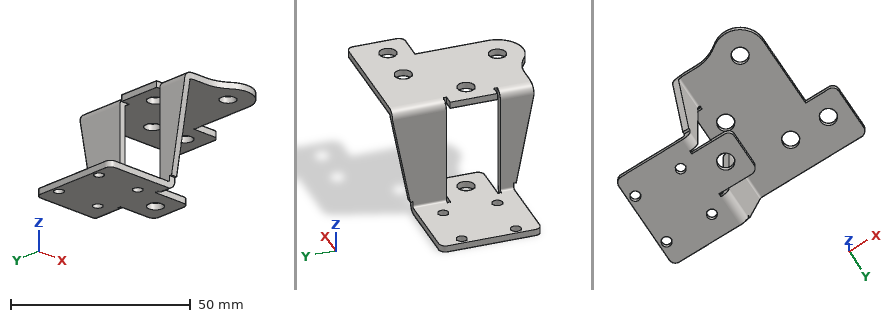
import cadquery as cq
import math

thickness = 2.0
bend_inner_radius = 0.65
bend_outer_radius = bend_inner_radius + thickness
height = 34.0
corner_radius = 2.0

leg_outer_x = 22.95
leg_inner_x = leg_outer_x + thickness
lower_bend_x = leg_outer_x - bend_inner_radius
upper_bend_x = leg_inner_x + bend_inner_radius
lower_bend_z = bend_outer_radius
upper_bend_z = height - bend_outer_radius
leg_gap = 16.0
relief_width = 0.95
tongue_width = leg_gap - 2 * relief_width
shoulder_width = 0.7
shoulder_z = 3.8

lower_back_y = 18.0
lower_front_y = -12.0
lower_tongue_end_x = 35.1
small_hole_diameter = 3.0
small_hole_xs = (2.3, 17.3)
small_hole_ys = (11.0, -5.0)

upper_back_y = 24.0
upper_front_y = -18.0
front_edge_step = 0.1
front_step_length = 0.95
upper_tongue_x = 22.65
ear_end_x = 60.55
ear_front_y = 7.15
lobe_x = 43.1
lobe_y = -14.45
lobe_radius = 7.75
neck_radius = 12.0
large_hole_diameter = 5.0
tongue_hole = (29.0, 0.0)
upper_holes = [tongue_hole, (41.5, 14.05), (53.95, 14.05), (lobe_x, lobe_y)]


def block(x_min, x_max, y_min, y_max, z_min):
    """Flat piece of sheet with its underside at z_min."""
    size = (x_max - x_min, y_max - y_min, thickness)
    return cq.Workplane("XY").box(*size, centered=False).translate((x_min, y_min, z_min))


def holes(points, diameter, z_min):
    """Cutters through one sheet thickness."""
    plane = cq.Workplane("XY").workplane(offset=z_min)
    return plane.pushPoints(points).circle(diameter / 2).extrude(thickness)


def lower_plate():
    plate = block(0, lower_bend_x, lower_front_y, lower_back_y, 0)
    plate = plate.edges("|Z and <X").fillet(corner_radius)
    tongue = block(lower_bend_x, lower_tongue_end_x, -tongue_width / 2, tongue_width / 2, 0)
    tongue = tongue.edges("|Z and >X").fillet(corner_radius)
    small_holes = [(x, y) for x in small_hole_xs for y in small_hole_ys]
    plate = plate.union(tongue).cut(holes(small_holes, small_hole_diameter, 0))
    return plate.cut(holes([tongue_hole], large_hole_diameter, 0))


def upper_plate():
    bottom_z = height - thickness
    edge_y = upper_front_y - front_edge_step

    neck_y = edge_y - neck_radius
    center_distance = neck_radius + lobe_radius
    neck_x = lobe_x - math.sqrt(center_distance**2 - (lobe_y - neck_y) ** 2)
    neck_end_angle = math.atan2(lobe_y - neck_y, lobe_x - neck_x)
    neck_mid_angle = (math.pi / 2 + neck_end_angle) / 2

    def on_neck(angle):
        return (neck_x + neck_radius * math.cos(angle), neck_y + neck_radius * math.sin(angle))

    lobe_mid_angle = (neck_end_angle - math.pi) / 2
    lobe_mid = (
        lobe_x + lobe_radius * math.cos(lobe_mid_angle),
        lobe_y + lobe_radius * math.sin(lobe_mid_angle),
    )
    plate = (
        cq.Workplane("XY")
        .workplane(offset=bottom_z)
        .moveTo(upper_bend_x, upper_back_y)
        .lineTo(upper_bend_x, upper_front_y)
        .lineTo(upper_bend_x + front_step_length, edge_y)
        .lineTo(neck_x, edge_y)
        .threePointArc(on_neck(neck_mid_angle), on_neck(neck_end_angle))
        .threePointArc(lobe_mid, (lobe_x + lobe_radius, lobe_y))
        .lineTo(lobe_x + lobe_radius, ear_front_y)
        .lineTo(ear_end_x, ear_front_y)
        .lineTo(ear_end_x, upper_back_y)
        .close()
        .extrude(thickness)
        .edges("|Z and >X")
        .fillet(corner_radius)
    )
    tongue = block(upper_tongue_x, upper_bend_x, -tongue_width / 2, tongue_width / 2, bottom_z)
    return plate.union(tongue).cut(holes(upper_holes, large_hole_diameter, bottom_z))


def bent_strip():
    """Z-shaped strip of both bends and the web, across the full depth of the part."""
    diagonal = math.sqrt(0.5)

    def arc_mid(center_x, center_z, radius, x_sign):
        return (center_x + x_sign * radius * diagonal, center_z - x_sign * radius * diagonal)

    depth = upper_back_y - upper_front_y
    return (
        cq.Workplane("XZ", origin=(0, upper_back_y, 0))
        .moveTo(lower_bend_x, 0)
        .threePointArc(
            arc_mid(lower_bend_x, lower_bend_z, bend_outer_radius, 1), (leg_inner_x, lower_bend_z)
        )
        .lineTo(leg_inner_x, upper_bend_z)
        .threePointArc(
            arc_mid(upper_bend_x, upper_bend_z, bend_inner_radius, -1),
            (upper_bend_x, height - thickness),
        )
        .lineTo(upper_bend_x, height)
        .threePointArc(
            arc_mid(upper_bend_x, upper_bend_z, bend_outer_radius, -1), (leg_outer_x, upper_bend_z)
        )
        .lineTo(leg_outer_x, lower_bend_z)
        .threePointArc(
            arc_mid(lower_bend_x, lower_bend_z, bend_inner_radius, 1), (lower_bend_x, thickness)
        )
        .close()
        .extrude(depth)
    )


def leg(side, lower_y, upper_y):
    """Leg tapering from upper_y to lower_y; side is +1 at the back and -1 at the front."""
    inner_y = side * leg_gap / 2
    shoulder_y = lower_y + side * shoulder_width
    outline = [
        (inner_y, 0),
        (lower_y, 0),
        (lower_y, shoulder_z),
        (shoulder_y, shoulder_z),
        (upper_y, upper_bend_z),
        (upper_y, height),
        (inner_y, height),
    ]
    face = cq.Workplane("YZ").polyline(outline).close().extrude(ear_end_x)
    return bent_strip().intersect(face)


result = (
    lower_plate()
    .union(upper_plate())
    .union(leg(1, lower_back_y, upper_back_y))
    .union(leg(-1, lower_front_y, upper_front_y))
)